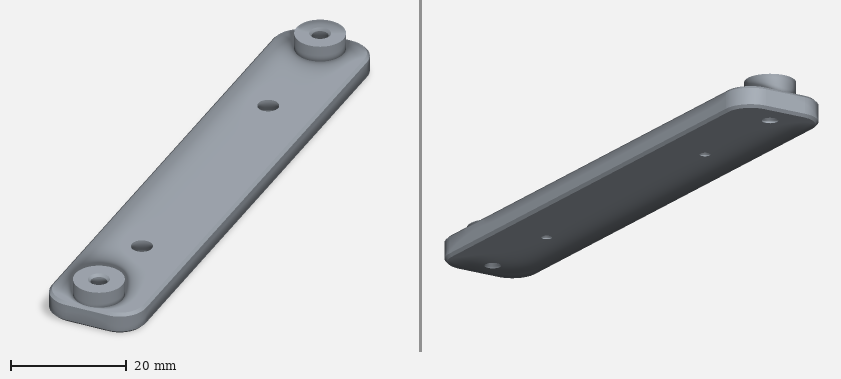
import cadquery as cq

plate_width = 18.0
plate_length = 100.0
plate_thickness = 4.0
corner_radius = 5.0
edge_chamfer = 0.5

boss_diameter = 9.0
boss_height = 3.0
boss_end_distance = 5.0
boss_spacing = plate_length - 2 * boss_end_distance
boss_hole_diameter = 2.9
boss_hole_mouth_diameter = 3.8

screw_spacing = 51.4
screw_pair_offset = -1.8
screw_hole_diameter = 1.9
screw_head_diameter = 3.8
screw_head_depth = 2.0

total_height = plate_thickness + boss_height


def point_pair(spacing, middle=0):
    """Two points on the long centre line, symmetric about Y = middle."""
    return [(0, middle - spacing / 2), (0, middle + spacing / 2)]


def make_plate():
    """Rounded bar with its top and bottom rims chamfered."""
    plate = cq.Workplane("XY").box(
        plate_width, plate_length, plate_thickness, centered=(True, True, False)
    )
    return plate.edges("|Z").fillet(corner_radius).faces("<Z or >Z").chamfer(edge_chamfer)


def make_bosses():
    """Cylinders standing on the plate."""
    return (
        cq.Workplane("XY", origin=(0, 0, plate_thickness))
        .pushPoints(point_pair(boss_spacing))
        .circle(boss_diameter / 2)
        .extrude(boss_height)
    )


def drill_bosses(body):
    """Through holes in the bosses with a 45 degree chamfer at the mouth."""
    return (
        body.faces(">Z")
        .workplane(origin=(0, 0, total_height))
        .pushPoints(point_pair(boss_spacing))
        .cskHole(boss_hole_diameter, boss_hole_mouth_diameter, 90)
    )


def drill_screw_holes(body):
    """Counterbored through holes in the plate's top face."""
    return (
        body.copyWorkplane(cq.Workplane("XY", origin=(0, 0, plate_thickness)))
        .pushPoints(point_pair(screw_spacing, screw_pair_offset))
        .cboreHole(screw_hole_diameter, screw_head_diameter, screw_head_depth)
    )


result = make_plate().union(make_bosses())
result = drill_bosses(result)
result = drill_screw_holes(result)